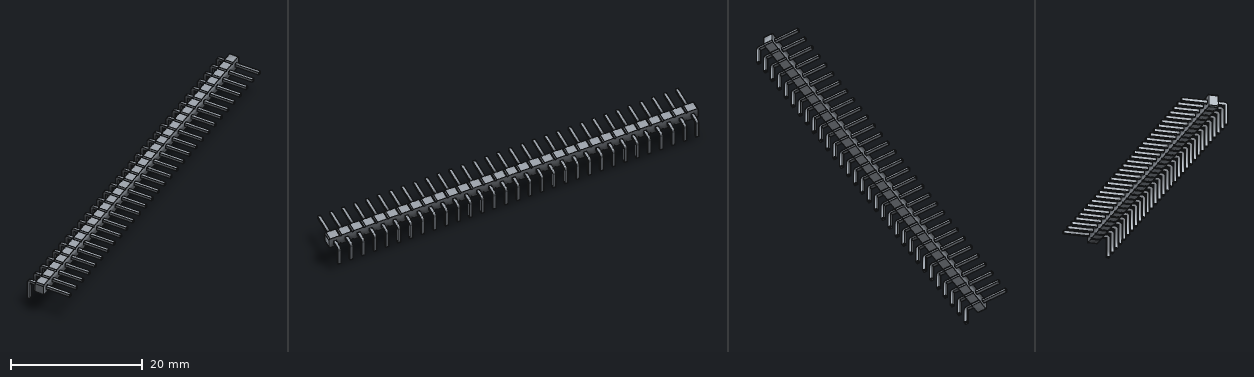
import cadquery as cq

pin_count = 31
pitch = 2.0
housing_depth = 1.5
housing_height = 2.0
notch_chamfer = 0.2

pin_width = 0.5
bend_outer_radius = 0.5
leg_offset = 1.75
pin_length = 7.45
leg_drop = 3.4
tip_chamfer = pin_width / 4

first_pin_y = -pitch * (pin_count - 1) / 2
pin_positions = [(0, first_pin_y + index * pitch, 0) for index in range(pin_count)]


def housing_block():
    """One block centred on the pin axis, its edges along X chamfered to form the notches."""
    return (
        cq.Workplane("XY")
        .box(housing_depth, pitch, housing_height)
        .edges("|X")
        .chamfer(notch_chamfer)
    )


def bent_pin():
    """An L-shaped pin with a rounded outer corner and a sharp inner corner, chamfered at both tips."""
    leg_outer_x = -housing_depth / 2 - leg_offset
    leg_inner_x = leg_outer_x + pin_width
    tip_x = leg_outer_x + pin_length
    half_width = pin_width / 2
    return (
        cq.Workplane("XZ")
        .moveTo(tip_x, half_width)
        .lineTo(leg_outer_x + bend_outer_radius, half_width)
        .radiusArc((leg_outer_x, half_width - bend_outer_radius), -bend_outer_radius)
        .lineTo(leg_outer_x, -leg_drop)
        .lineTo(leg_inner_x, -leg_drop)
        .lineTo(leg_inner_x, -half_width)
        .lineTo(tip_x, -half_width)
        .close()
        .extrude(half_width, both=True)
        .faces(">X or <Z")
        .chamfer(tip_chamfer)
    )


def at_every_pin(shape):
    """Copies of the shape at every pin position, joined together."""
    row = cq.Workplane("XY")
    for position in pin_positions:
        row = row.add(shape.translate(position))
    return row.combine(clean=True)


result = at_every_pin(housing_block().union(bent_pin()))